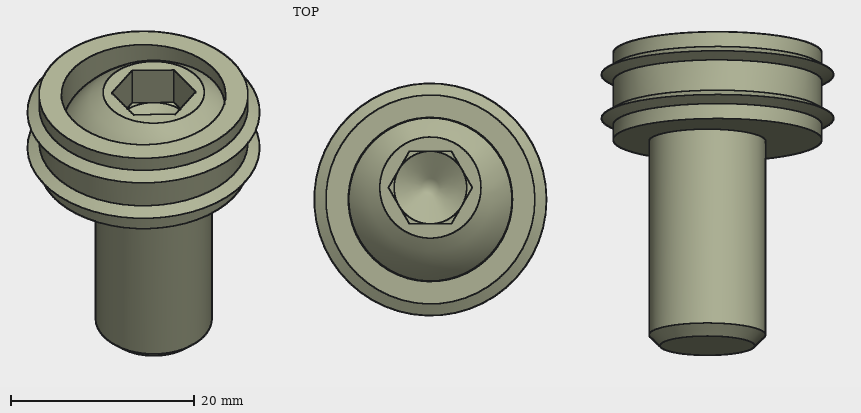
import cadquery as cq
import math

total_height = 32.5

ring_radius = 11.4
ridge_diameter = 25.4
ridge_radius = ridge_diameter / 2
ring_height = 9.7
ridge_inset = 2.4
ridge_half_width = 0.75
bore_radius = 8.97

shank_offset = 1.3
shank_radius = 6.37
shank_chamfer = 1.2
head_radius = 8.9
head_recess = 0.2
head_height = 6.6
dome_radius = 11.57
dome_flat_radius = 5.53
hex_across_flats = 7.93
hex_depth = 4.45
drill_point_angle = 118.0

ring_bottom = total_height - ring_height
head_top = total_height - head_recess
head_bottom = head_top - head_height


def make_ridge(crest_z):
    """Triangular ridge around the ring."""
    return (
        cq.Workplane("XZ")
        .moveTo(bore_radius, crest_z - ridge_half_width)
        .lineTo(ring_radius, crest_z - ridge_half_width)
        .lineTo(ridge_radius, crest_z)
        .lineTo(ring_radius, crest_z + ridge_half_width)
        .lineTo(bore_radius, crest_z + ridge_half_width)
        .close()
        .revolve(360, (0, 0, 0), (0, 1, 0))
    )


def make_ring():
    """Ridged ring with a head bore and an eccentric shank hole in its floor."""
    ring = cq.Workplane("XY").workplane(offset=ring_bottom).circle(ring_radius).extrude(ring_height)
    for crest_z in (ring_bottom + ridge_inset, total_height - ridge_inset):
        ring = ring.union(make_ridge(crest_z))
    bore = (
        cq.Workplane("XY").workplane(offset=head_bottom)
        .circle(bore_radius).extrude(total_height - head_bottom)
    )
    shank_hole = (
        cq.Workplane("XY").workplane(offset=ring_bottom)
        .center(0, shank_offset).circle(shank_radius).extrude(ring_height)
    )
    return ring.cut(bore).cut(shank_hole)


def make_head():
    """Head cylinder on the ring axis, domed about the shank axis."""
    cylinder = cq.Workplane("XY").workplane(offset=head_bottom).circle(head_radius).extrude(head_height)
    dome_center_z = head_top - math.sqrt(dome_radius**2 - dome_flat_radius**2)
    dome = cq.Workplane("XY").sphere(dome_radius).translate((0, shank_offset, dome_center_z))
    return cylinder.intersect(dome)


def make_socket():
    """Hex socket with a conical drill point below it."""
    hexagon = (
        cq.Workplane("XY").workplane(offset=head_top)
        .center(0, shank_offset)
        .polygon(6, hex_across_flats / math.cos(math.pi / 6))
        .extrude(-hex_depth)
    )
    cone_radius = hex_across_flats / 2
    cone_depth = cone_radius / math.tan(math.radians(drill_point_angle / 2))
    cone = cq.Workplane(
        cq.Solid.makeCone(
            cone_radius, 0, cone_depth,
            pnt=cq.Vector(0, shank_offset, head_top - hex_depth),
            dir=cq.Vector(0, 0, -1),
        )
    )
    return hexagon.union(cone)


def make_bolt():
    """Domed head and chamfered shank with a hex socket."""
    shank = (
        cq.Workplane("XY").center(0, shank_offset)
        .circle(shank_radius).extrude(head_bottom)
        .faces("<Z").chamfer(shank_chamfer)
    )
    return shank.union(make_head()).cut(make_socket())


ring = make_ring()
bolt = make_bolt()
result = cq.Compound.makeCompound([ring.solids().val(), bolt.solids().val()])